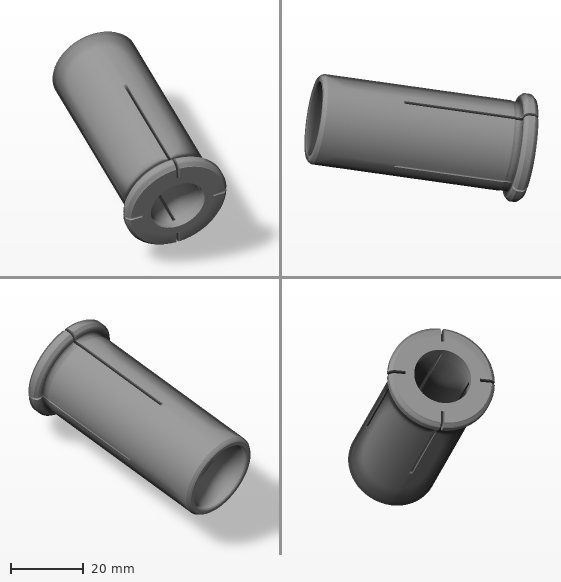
import cadquery as cq

length = 60.0
body_radius = 25.0 / 2
flange_radius = 30.0 / 2
slit_width = 0.9

entry_radius = 20.5 / 2
bore_radius = 16.0 / 2
entry_depth = 10.2
cone_length = entry_radius - bore_radius
entry_chamfer = 0.3

lead_in_length = 1.1
lead_in_radius = 12.05
edge_break = 0.35

groove_start = 53.6
groove_radius = body_radius - 0.2
groove_floor_start = 54.1
groove_floor_end = 55.6

flange_start = 55.9
flange_back_chamfer_length = 1.1
flange_back_chamfer_height = 0.8
back_face_radius = 13.8
back_break_length = 0.2
front_break_start = 58.75
front_chamfer_start = 59.05
front_break_height = 0.2
front_chamfer_end = 59.8
front_chamfer_end_radius = 14.05
front_face_radius = 13.9

slit_count = 4
slit_start = 22.5
slit_inner_end = 57.5
slit_overshoot = 0.6


def make_sleeve():
    """Revolve the half section of the sleeve about X."""
    section = [
        (entry_chamfer, entry_radius),
        (0, entry_radius + entry_chamfer),
        (0, lead_in_radius - edge_break),
        (edge_break, lead_in_radius),
        (lead_in_length, body_radius),
        (groove_start, body_radius),
        (groove_floor_start, groove_radius),
        (groove_floor_end, groove_radius),
        (flange_start, body_radius),
        (flange_start, back_face_radius),
        (flange_start + back_break_length, flange_radius - flange_back_chamfer_height),
        (flange_start + flange_back_chamfer_length, flange_radius),
        (front_break_start, flange_radius),
        (front_chamfer_start, flange_radius - front_break_height),
        (front_chamfer_end, front_chamfer_end_radius),
        (length, front_face_radius),
        (length, bore_radius),
        (entry_depth + cone_length, bore_radius),
        (entry_depth, entry_radius),
    ]
    return cq.Workplane("XY").polyline(section).close().revolve(360, (0, 0, 0), (1, 0, 0))


def make_slit():
    """Cutter for one slit on the +Z side, open through the flange end."""
    inner = bore_radius - slit_overshoot
    outer = flange_radius + slit_overshoot
    end = length + slit_overshoot
    outline = [
        (slit_start - (outer - body_radius), outer),
        (slit_start + (body_radius - inner), inner),
        (slit_inner_end - slit_overshoot, inner),
        (end, bore_radius + end - slit_inner_end),
        (end, outer),
    ]
    return cq.Workplane("XZ").polyline(outline).close().extrude(slit_width / 2, both=True)


result = make_sleeve()
slit = make_slit()
for index in range(slit_count):
    angle = index * 360 / slit_count
    result = result.cut(slit.rotate((0, 0, 0), (1, 0, 0), angle))